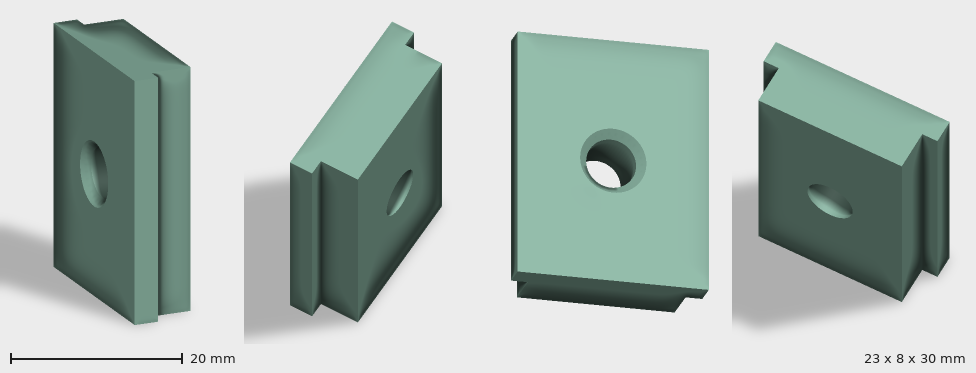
import cadquery as cq

height = 30.0
flange_width = 23.0
depth = 8.0

flange_thickness = 3.0
body_width = 19.0

hole_diameter = 6.0
hole_chamfer = 1.0


def stepped_block():
    """Flange and body, with the front face on Y = 0."""
    flange = cq.Workplane("XY").box(
        flange_width, flange_thickness, height, centered=(True, False, True)
    )
    body = cq.Workplane("XY").box(
        body_width, depth, height, centered=(True, False, True)
    )
    return flange.union(body)


def chamfered_hole():
    """Cutter for the through hole and its conical mouth, turned about Y."""
    hole_radius = hole_diameter / 2
    mouth_radius = hole_radius + hole_chamfer
    profile = (
        cq.Workplane("XY")
        .lineTo(mouth_radius, 0)
        .lineTo(hole_radius, hole_chamfer)
        .lineTo(hole_radius, depth)
        .lineTo(0, depth)
        .close()
    )
    return profile.revolve(360, (0, 0, 0), (0, 1, 0))


result = stepped_block().cut(chamfered_hole())